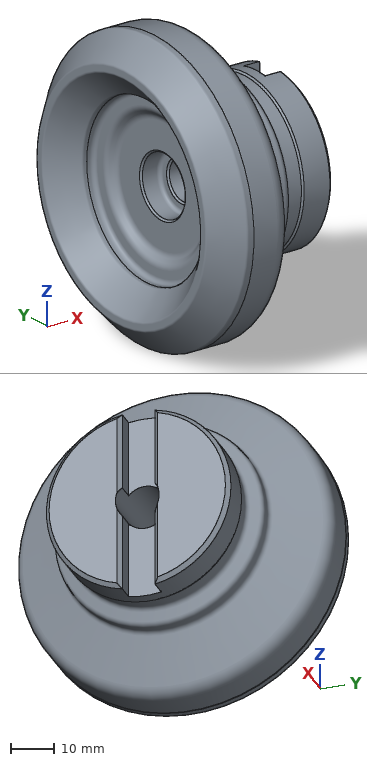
import cadquery as cq
import math

LENGTH = 44.4

RING_RADIUS = 38.7
RING_DEPTH = 8.7
RING_BORE_DEPTH = 7.8
RIM_OUTER_RADIUS = 31.8
RIM_INNER_RADIUS = 29.7
RING_BORE_RADIUS = 23.1
RING_ROUND = 0.8

BODY_RADIUS = RING_RADIUS
BODY_FRONT_ROUND = 0.4
FLANK_ANGLE = 60.0
BODY_FLANK_X = 17.95
BODY_FLANK_ROUND = 4.0
COLLAR_RADIUS = 25.6
COLLAR_FLANK_X = 29.0
COLLAR_ROUND = 1.55
NECK_RADIUS = 22.05
HUB_RADIUS = 22.5
HUB_LENGTH = 9.0
HUB_STEP_CHAMFER = HUB_RADIUS - NECK_RADIUS
HUB_END_CHAMFER = 1.0

SHELF_X = 10.0
SHELF_CORNER_ROUND = 1.2
STEP_TOP_RADIUS = 18.8
STEP_DEPTH = 2.0
STEP_ROUND = 2.0
COUNTERBORE_RADIUS = 8.1
COUNTERBORE_DEPTH = 5.7
COUNTERBORE_ROUND = 1.0
BORE_RADIUS = 5.35
BORE_CHAMFER = 0.5

SLOT_WIDTH = 8.0
SLOT_DEPTH = 5.5


def corner_arc(before, corner, after, radius):
    """Return the start, middle and end of the arc that rounds a corner between two straight lines."""
    corner = cq.Vector(*corner)
    to_before = (cq.Vector(*before) - corner).normalized()
    to_after = (cq.Vector(*after) - corner).normalized()
    half_angle = to_before.getAngle(to_after) / 2
    tangent_length = radius / math.tan(half_angle)
    middle_distance = radius / math.sin(half_angle) - radius
    start = corner + to_before * tangent_length
    middle = corner + (to_before + to_after).normalized() * middle_distance
    end = corner + to_after * tangent_length
    return [(point.x, point.y) for point in (start, middle, end)]


def turned(outline):
    """Revolve a closed outline of (x, radius, corner round) around the X axis; the first corner is sharp."""
    points = [(x, radius) for x, radius, _ in outline]
    profile = cq.Workplane("XY").moveTo(*points[0])
    for i in range(1, len(outline)):
        corner_round = outline[i][2]
        if corner_round == 0:
            profile = profile.lineTo(*points[i])
        else:
            following = points[(i + 1) % len(points)]
            start, middle, end = corner_arc(points[i - 1], points[i], following, corner_round)
            profile = profile.lineTo(*start).threePointArc(middle, end)
    return profile.close().revolve(360, (0, 0, 0), (1, 0, 0))


def make_grinding_ring():
    outer_flank_x = RING_RADIUS - RIM_OUTER_RADIUS
    inner_flank_x = RIM_INNER_RADIUS - RING_BORE_RADIUS
    return turned([
        (RING_BORE_DEPTH, RING_BORE_RADIUS, 0),
        (inner_flank_x, RING_BORE_RADIUS, RING_ROUND),
        (0, RIM_INNER_RADIUS, RING_ROUND),
        (0, RIM_OUTER_RADIUS, RING_ROUND),
        (outer_flank_x, RING_RADIUS, RING_ROUND),
        (RING_DEPTH, RING_RADIUS, 0),
    ])


def make_turned_body():
    flank_slope = math.tan(math.radians(FLANK_ANGLE))
    body_flank_end_x = BODY_FLANK_X + (BODY_RADIUS - COLLAR_RADIUS) / flank_slope
    collar_flank_end_x = COLLAR_FLANK_X + (COLLAR_RADIUS - NECK_RADIUS) / flank_slope
    hub_x = LENGTH - HUB_LENGTH
    floor_x = SHELF_X + STEP_DEPTH
    counterbore_floor_x = floor_x + COUNTERBORE_DEPTH
    return turned([
        (RING_BORE_DEPTH, RING_BORE_RADIUS, 0),
        (RING_DEPTH, BODY_RADIUS, BODY_FRONT_ROUND),
        (BODY_FLANK_X, BODY_RADIUS, BODY_FLANK_ROUND),
        (body_flank_end_x, COLLAR_RADIUS, COLLAR_ROUND),
        (COLLAR_FLANK_X, COLLAR_RADIUS, COLLAR_ROUND),
        (collar_flank_end_x, NECK_RADIUS, COLLAR_ROUND),
        (hub_x, NECK_RADIUS, 0),
        (hub_x + HUB_STEP_CHAMFER, HUB_RADIUS, 0),
        (LENGTH - HUB_END_CHAMFER, HUB_RADIUS, 0),
        (LENGTH, HUB_RADIUS - HUB_END_CHAMFER, 0),
        (LENGTH, BORE_RADIUS, 0),
        (counterbore_floor_x + BORE_CHAMFER, BORE_RADIUS, 0),
        (counterbore_floor_x, BORE_RADIUS + BORE_CHAMFER, 0),
        (counterbore_floor_x, COUNTERBORE_RADIUS, COUNTERBORE_ROUND),
        (floor_x + BORE_CHAMFER, COUNTERBORE_RADIUS, 0),
        (floor_x, COUNTERBORE_RADIUS + BORE_CHAMFER, 0),
        (floor_x, STEP_TOP_RADIUS - STEP_DEPTH, STEP_ROUND),
        (SHELF_X, STEP_TOP_RADIUS, STEP_ROUND),
        (SHELF_X, RING_BORE_RADIUS, SHELF_CORNER_ROUND),
    ])


def make_drive_slot():
    """Slot along Z through the whole hub, widened by a chamfer at the hub end."""
    half_width = SLOT_WIDTH / 2
    chamfer_x = LENGTH - HUB_END_CHAMFER
    mouth_half_width = half_width + HUB_END_CHAMFER
    return (
        cq.Workplane("XY")
        .polyline([
            (LENGTH - SLOT_DEPTH, -half_width),
            (chamfer_x, -half_width),
            (LENGTH, -mouth_half_width),
            (LENGTH, mouth_half_width),
            (chamfer_x, half_width),
            (LENGTH - SLOT_DEPTH, half_width),
        ])
        .close()
        .extrude(HUB_RADIUS, both=True)
    )


grinding_ring = make_grinding_ring()
wheel_body = make_turned_body().cut(make_drive_slot())

result = cq.Compound.makeCompound([grinding_ring.val(), wheel_body.val()])